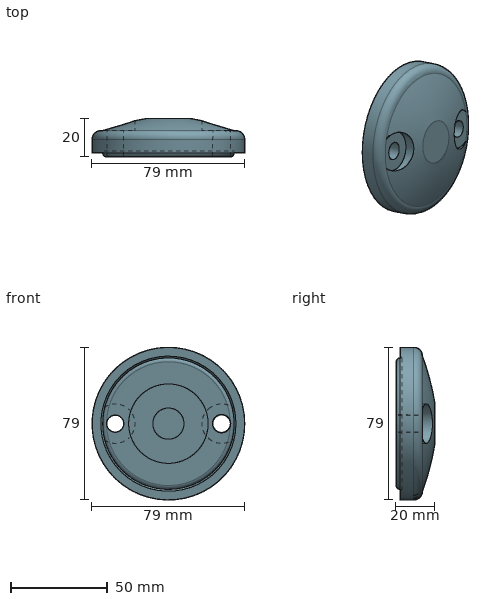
import cadquery as cq
import math

outer_radius = 39.5
total_depth = 20.0
rim_front = 2.1
rim_fillet = 4.6
shoulder = 13.7
dome_top_radius = 11.1
dome_mid_radius = 23.7
dome_mid_depth = 17.2

pad_radius = 34.0
pad_fillet = 2.0
groove_radius = 34.9
groove_depth = 0.95

recess_outer_radius = 20.55
recess_inner_radius = 8.05
recess_depth = 0.3

hole_offset = 27.5
left_hole_radius = 4.35
right_hole_front_radius = 4.75
right_hole_rear_radius = 4.5
counterbore_radius = 10.2


def make_body():
    """Revolve the half section (radius, y) about the Y axis."""
    rim_shoulder_radius = outer_radius - rim_fillet
    rim_bend = rim_fillet * math.sqrt(0.5)
    pad_bend = pad_fillet * math.sqrt(0.5)
    pad_flat_radius = pad_radius - pad_fillet
    section = (
        cq.Workplane("XY")
        .lineTo(pad_flat_radius, 0)
        .threePointArc(
            (pad_flat_radius + pad_bend, pad_fillet - pad_bend),
            (pad_radius, pad_fillet),
        )
        .lineTo(pad_radius, rim_front + groove_depth)
        .lineTo(groove_radius, rim_front)
        .lineTo(outer_radius, rim_front)
        .lineTo(outer_radius, shoulder - rim_fillet)
        .threePointArc(
            (rim_shoulder_radius + rim_bend, shoulder - rim_fillet + rim_bend),
            (rim_shoulder_radius, shoulder),
        )
        .threePointArc((dome_mid_radius, dome_mid_depth), (dome_top_radius, total_depth))
        .lineTo(0, total_depth)
        .close()
    )
    return section.revolve(360, (0, 0, 0), (0, 1, 0))


def cone_along_y(x, start, end, start_radius, end_radius):
    """Round solid parallel to Y, centred at x, whose radius may change with depth."""
    section = (
        cq.Workplane("XY")
        .moveTo(x, start)
        .lineTo(x + start_radius, start)
        .lineTo(x + end_radius, end)
        .lineTo(x, end)
        .close()
    )
    return section.revolve(360, (x, 0, 0), (x, 1, 0))


def cylinder_along_y(x, start, end, radius):
    return cone_along_y(x, start, end, radius, radius)


def make_recess():
    disc = cylinder_along_y(0, 0, recess_depth, recess_outer_radius)
    return disc.cut(cylinder_along_y(0, 0, recess_depth, recess_inner_radius))


result = make_body().cut(make_recess())

for x in (-hole_offset, hole_offset):
    result = result.cut(cylinder_along_y(x, shoulder, total_depth, counterbore_radius))

result = result.cut(cylinder_along_y(-hole_offset, 0, shoulder, left_hole_radius))
result = result.cut(
    cone_along_y(hole_offset, 0, shoulder, right_hole_front_radius, right_hole_rear_radius)
)